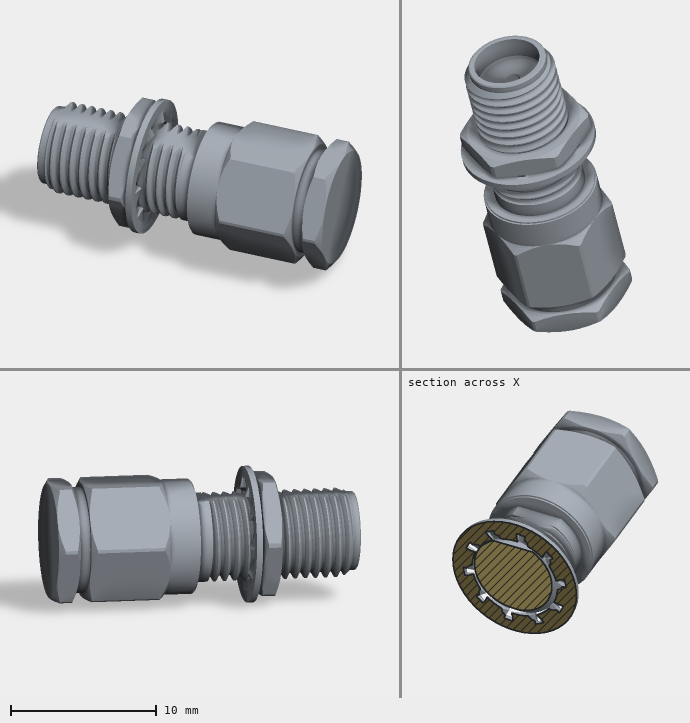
import cadquery as cq
import math


OVERALL_LENGTH = 21.34
THREAD_START = 0.52
THREAD_END = 10.42
COLLAR_START = 11.4
FRONT_HEX_START = 13.48
FRONT_HEX_END = 19.06
REAR_HEX_START = 19.81

ROOT_DIAMETER = 5.56
NOSE_DIAMETER = 5.44
COLLAR_DIAMETER = 7.94
NECK_DIAMETER = 7.29
NOSE_CHAMFER = 0.08
COLLAR_STEP = 0.12

THREAD_DIAMETER = 6.35
THREAD_PITCH = 25.4 / 36
CREST_WIDTH = THREAD_PITCH / 8
FLANK_SLOPE = math.tan(math.radians(30))
RIDGE_SINK = 0.04
KEY_FLAT_HEIGHT = NOSE_DIAMETER / 2
HELIX_START = 0.84 - THREAD_PITCH
SHELL_THREAD_TURNS = 15

SOCKET_DIAMETER = 4.57
SOCKET_DEPTH = 1.64
SOCKET_FLOOR_CHAMFER = 0.13
CONTACT_MOUTH_DIAMETER = 1.17
CONTACT_FLOOR_DIAMETER = 0.91
CONTACT_RECESS_DEPTH = (CONTACT_MOUTH_DIAMETER - CONTACT_FLOOR_DIAMETER) / 2

HEX_ACROSS_FLATS = 7.94
SHELL_HEX_CORNER_DIAMETER = 9.04
FRONT_HEX_CHAMFERS = (0.52, 0.33)
REAR_HEX_CHAMFERS = (0.29, 0.36)

NUT_START = 5.69
NUT_END = 6.99
NUT_CORNER_DIAMETER = 9.0
NUT_CHAMFERS = (0.21, 0.21)

WASHER_DIAMETER = 9.4
WASHER_START = 7.21
WASHER_END = 7.64
WASHER_RING_BORE = 7.8
WASHER_TIP_DIAMETER = 6.4
TOOTH_COUNT = 10
TOOTH_WIDTH = 1.77
TOOTH_TWIST = 17
TOOTH_START_ANGLE = 7
TOOTH_ROOT_OVERLAP = 0.2
TIP_TRIM = 0.1


def revolved(points):
    """Revolve an (x, radius) outline about the X axis."""
    return cq.Workplane("XY").polyline(points).close().revolve(360, (0, 0, 0), (1, 0, 0))


def cylinder(diameter, start, end):
    return cq.Workplane("YZ", origin=(start, 0, 0)).circle(diameter / 2).extrude(end - start)


def chamfered_hex(start, end, corner_diameter, chamfers):
    """Hexagon with flats facing +Z and -Z, its corners rounded off and both ends coned."""
    prism = (
        cq.Workplane("YZ", origin=(start, 0, 0))
        .polygon(6, HEX_ACROSS_FLATS / math.cos(math.pi / 6))
        .extrude(end - start)
    )
    flat_radius = HEX_ACROSS_FLATS / 2
    corner_radius = corner_diameter / 2
    envelope = revolved([
        (start, 0),
        (start, flat_radius),
        (start + chamfers[0], corner_radius),
        (end - chamfers[1], corner_radius),
        (end, flat_radius),
        (end, 0),
    ])
    return prism.intersect(envelope)


def thread_ridge(first_turn, turns):
    """Helical ridge, right-handed along +X, starting a whole number of turns along the thread."""
    crest_radius = THREAD_DIAMETER / 2
    sunk_radius = ROOT_DIAMETER / 2 - RIDGE_SINK
    half_crest = CREST_WIDTH / 2
    half_base = half_crest + (crest_radius - sunk_radius) * FLANK_SLOPE
    helix = cq.Wire.makeHelix(THREAD_PITCH, turns * THREAD_PITCH, crest_radius)
    return (
        cq.Workplane("XZ")
        .polyline([
            (sunk_radius, -half_base),
            (crest_radius, -half_crest),
            (crest_radius, half_crest),
            (sunk_radius, half_base),
        ])
        .close()
        .sweep(cq.Workplane(helix), isFrenet=True)
        .rotate((0, 0, 0), (1, 1, 1), 120)
        .translate((HELIX_START + first_turn * THREAD_PITCH, 0, 0))
    )


def shell_thread():
    """Full-round threaded barrel, coned at 45 degrees where the thread starts."""
    root_radius = ROOT_DIAMETER / 2
    trim_radius = THREAD_DIAMETER / 2 + CREST_WIDTH
    envelope = revolved([
        (THREAD_START, 0),
        (THREAD_START, root_radius),
        (THREAD_START + trim_radius - root_radius, trim_radius),
        (THREAD_END, trim_radius),
        (THREAD_END, 0),
    ])
    ridge = thread_ridge(0, SHELL_THREAD_TURNS).intersect(envelope)
    return cylinder(ROOT_DIAMETER, THREAD_START, COLLAR_START).union(ridge)


def socket_cutter():
    """Stepped blind socket: wide bore with a coned floor edge, then a shallow coned contact recess."""
    socket_radius = SOCKET_DIAMETER / 2
    mouth_radius = CONTACT_MOUTH_DIAMETER / 2
    floor_radius = CONTACT_FLOOR_DIAMETER / 2
    return revolved([
        (0, 0),
        (0, socket_radius),
        (SOCKET_DEPTH - SOCKET_FLOOR_CHAMFER, socket_radius),
        (SOCKET_DEPTH, socket_radius - SOCKET_FLOOR_CHAMFER),
        (SOCKET_DEPTH, mouth_radius),
        (SOCKET_DEPTH + CONTACT_RECESS_DEPTH, floor_radius),
        (SOCKET_DEPTH + CONTACT_RECESS_DEPTH, 0),
    ])


def key_flat_cutter():
    """Block that planes a key flat along the top of the thread, just into its root."""
    length = COLLAR_START - THREAD_START
    return (
        cq.Workplane("XY", origin=(THREAD_START, 0, KEY_FLAT_HEIGHT))
        .box(length, THREAD_DIAMETER, THREAD_DIAMETER, centered=(False, True, False))
    )


def make_shell():
    flat_cutter = key_flat_cutter()
    threaded = shell_thread().cut(flat_cutter)
    shank = cylinder(THREAD_DIAMETER, THREAD_END, COLLAR_START).cut(flat_cutter)
    nose = cylinder(NOSE_DIAMETER, 0, THREAD_START).faces("<X").chamfer(NOSE_CHAMFER)
    step = cylinder(COLLAR_DIAMETER - 2 * COLLAR_STEP, COLLAR_START, COLLAR_START + COLLAR_STEP)
    collar = cylinder(COLLAR_DIAMETER, COLLAR_START + COLLAR_STEP, FRONT_HEX_START)
    front_hex = chamfered_hex(
        FRONT_HEX_START, FRONT_HEX_END, SHELL_HEX_CORNER_DIAMETER, FRONT_HEX_CHAMFERS
    )
    neck = cylinder(NECK_DIAMETER, FRONT_HEX_END, REAR_HEX_START)
    rear_hex = chamfered_hex(
        REAR_HEX_START, OVERALL_LENGTH, SHELL_HEX_CORNER_DIAMETER, REAR_HEX_CHAMFERS
    )
    rear = step.union(collar).union(front_hex).union(neck).union(rear_hex)
    return threaded.union(shank).union(nose).union(rear).cut(socket_cutter())


def make_nut():
    """Hex nut cut by the same thread as the shell, countersunk to the thread crest at both ends."""
    root_radius = ROOT_DIAMETER / 2
    crest_radius = THREAD_DIAMETER / 2
    countersink = crest_radius - root_radius
    blank = chamfered_hex(NUT_START, NUT_END, NUT_CORNER_DIAMETER, NUT_CHAMFERS)
    for face, inward in ((NUT_START, 1), (NUT_END, -1)):
        blank = blank.cut(revolved([
            (face, 0),
            (face, crest_radius),
            (face + inward * countersink, root_radius),
            (face + inward * countersink, 0),
        ]))
    first_turn = math.floor((NUT_START - HELIX_START) / THREAD_PITCH) - 1
    turns = math.ceil((NUT_END - NUT_START) / THREAD_PITCH) + 3
    core = cylinder(ROOT_DIAMETER, NUT_START - THREAD_PITCH, NUT_END + THREAD_PITCH)
    return blank.cut(core.union(thread_ridge(first_turn, turns)))


def washer_tooth():
    """One tooth pointing along Y: flush with the ring at its root and twisted at its tip."""
    thickness = WASHER_END - WASHER_START
    middle = (WASHER_START + WASHER_END) / 2
    root_radius = WASHER_RING_BORE / 2
    inner_radius = math.sqrt((WASHER_TIP_DIAMETER / 2) ** 2 - (TOOTH_WIDTH / 2) ** 2) - TIP_TRIM
    root_plane = cq.Workplane("XZ", origin=(middle, root_radius, 0))
    root = root_plane.rect(thickness, TOOTH_WIDTH).extrude(-TOOTH_ROOT_OVERLAP)
    twisted = (
        root_plane.rect(thickness, TOOTH_WIDTH)
        .workplane(offset=root_radius - inner_radius)
        .transformed(rotate=(0, 0, TOOTH_TWIST))
        .rect(thickness, TOOTH_WIDTH)
        .loft(ruled=True)
    )
    return root.union(twisted)


def make_washer():
    ring = cylinder(WASHER_DIAMETER, WASHER_START, WASHER_END).cut(
        cylinder(WASHER_RING_BORE, WASHER_START, WASHER_END)
    )
    tooth = washer_tooth()
    for index in range(TOOTH_COUNT):
        angle = TOOTH_START_ANGLE + index * 360 / TOOTH_COUNT
        ring = ring.union(tooth.rotate((0, 0, 0), (1, 0, 0), angle))
    return ring.cut(cylinder(WASHER_TIP_DIAMETER, NUT_START, THREAD_END))


shell = make_shell()
nut = make_nut()
washer = make_washer()
result = cq.Compound.makeCompound([shell.val(), nut.val(), washer.val()])